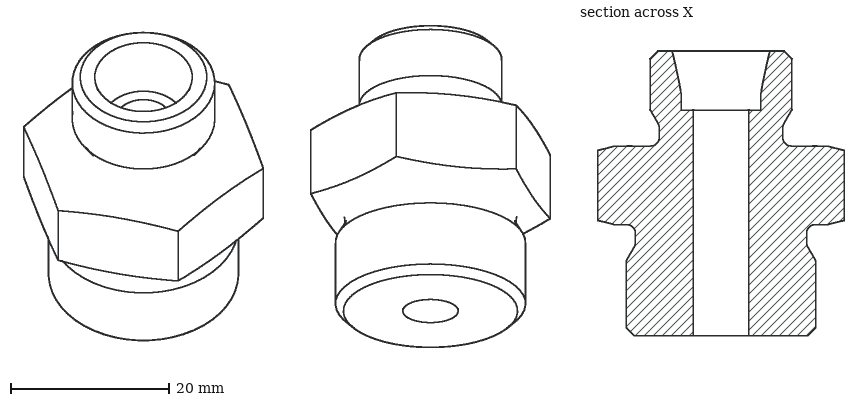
import cadquery as cq
import math

TOTAL_HEIGHT = 36.0
HEX_WIDTH = 27.0
HEX_BOTTOM = 14.0
HEX_TOP = 24.0
HEX_FACE_DIAMETER = 26.85
HEX_CHAMFER_ANGLE = 15.0

UPPER_DIAMETER = 18.0
UPPER_LENGTH = 7.4
LOWER_DIAMETER = 24.0
LOWER_LENGTH = 9.5
END_CHAMFER = 1.0

UNDERCUT_DEPTH = 1.15
UNDERCUT_ANGLE = 30.0
UNDERCUT_RADIUS = 1.0

BORE_DIAMETER = 7.0
SOCKET_DIAMETER = 10.0
SOCKET_DEPTH = 7.5
SEAT_MOUTH_DIAMETER = 12.3
SEAT_HALF_ANGLE = 12.0


def cone_height(radius_change, half_angle):
    """Axial length of a cone whose radius changes by radius_change."""
    return radius_change / math.tan(math.radians(half_angle))


def make_hexagon():
    """Hexagon collar with its corners turned off at both faces."""
    height = HEX_TOP - HEX_BOTTOM
    corner_diameter = HEX_WIDTH / math.cos(math.radians(30))
    face_radius = HEX_FACE_DIAMETER / 2
    corner_radius = corner_diameter / 2
    drop = (corner_radius - face_radius) * math.tan(math.radians(HEX_CHAMFER_ANGLE))
    prism = (
        cq.Workplane("XY")
        .polygon(6, corner_diameter)
        .extrude(height)
        .rotate((0, 0, 0), (0, 0, 1), 30)
        .translate((0, 0, HEX_BOTTOM))
    )
    turned_blank = (
        cq.Workplane("XZ")
        .moveTo(0, HEX_BOTTOM)
        .lineTo(face_radius, HEX_BOTTOM)
        .lineTo(corner_radius, HEX_BOTTOM + drop)
        .lineTo(corner_radius, HEX_TOP - drop)
        .lineTo(face_radius, HEX_TOP)
        .lineTo(0, HEX_TOP)
        .close()
        .revolve(360, (0, 0, 0), (0, 1, 0))
    )
    return prism.intersect(turned_blank)


def make_end(diameter, thread_length, end_z, hex_z):
    """Turned end from its chamfered end face to the hexagon face at hex_z."""
    inward = math.copysign(1, hex_z - end_z)
    radius = diameter / 2
    neck = radius - UNDERCUT_DEPTH
    half_angle = math.radians(UNDERCUT_ANGLE)
    blend = UNDERCUT_RADIUS

    def z_at(distance):
        """Height of a point at the given distance from the end face."""
        return end_z + inward * distance

    neck_corner = thread_length + cone_height(UNDERCUT_DEPTH, UNDERCUT_ANGLE)
    tangent = blend * math.tan(half_angle / 2)
    blend_center = neck_corner + tangent

    def blend_point(angle):
        """Point on the blend, with the angle measured from the neck tangent."""
        return (neck + blend * (1 - math.cos(angle)), z_at(blend_center - blend * math.sin(angle)))

    fillet_start = hex_z - inward * blend
    fillet_middle = (
        neck + blend * (1 - math.sqrt(0.5)),
        fillet_start + inward * blend * math.sqrt(0.5),
    )
    return (
        cq.Workplane("XZ")
        .moveTo(0, end_z)
        .lineTo(radius - END_CHAMFER, end_z)
        .lineTo(radius, z_at(END_CHAMFER))
        .lineTo(radius, z_at(thread_length))
        .lineTo(*blend_point(half_angle))
        .threePointArc(blend_point(half_angle / 2), blend_point(0))
        .lineTo(neck, fillet_start)
        .threePointArc(fillet_middle, (neck + blend, hex_z))
        .lineTo(0, hex_z)
        .close()
        .revolve(360, (0, 0, 0), (0, 1, 0))
    )


def make_bore():
    """Through bore, tube socket and conical seat as one turned cutter."""
    bore = BORE_DIAMETER / 2
    socket = SOCKET_DIAMETER / 2
    mouth = SEAT_MOUTH_DIAMETER / 2
    socket_floor = TOTAL_HEIGHT - SOCKET_DEPTH
    seat_bottom = TOTAL_HEIGHT - cone_height(mouth - socket, SEAT_HALF_ANGLE)
    return (
        cq.Workplane("XZ")
        .moveTo(0, 0)
        .lineTo(bore, 0)
        .lineTo(bore, socket_floor)
        .lineTo(socket, socket_floor)
        .lineTo(socket, seat_bottom)
        .lineTo(mouth, TOTAL_HEIGHT)
        .lineTo(0, TOTAL_HEIGHT)
        .close()
        .revolve(360, (0, 0, 0), (0, 1, 0))
    )


upper_end = make_end(UPPER_DIAMETER, UPPER_LENGTH, TOTAL_HEIGHT, HEX_TOP)
lower_end = make_end(LOWER_DIAMETER, LOWER_LENGTH, 0, HEX_BOTTOM)
result = make_hexagon().union(upper_end).union(lower_end).cut(make_bore())